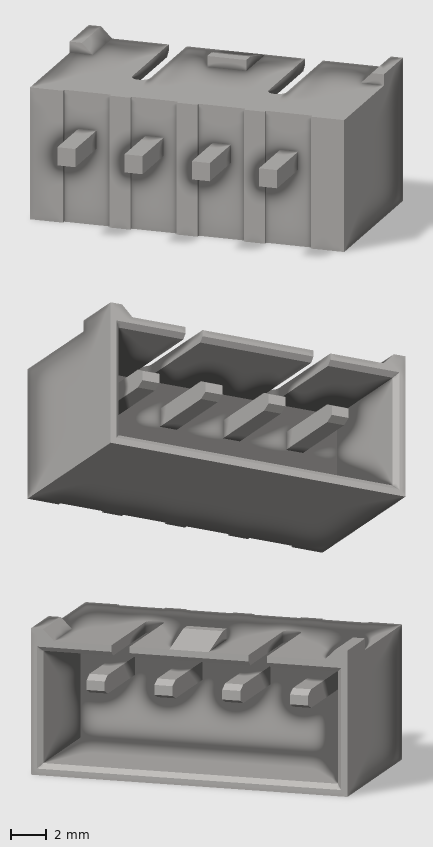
import cadquery as cq


body_width = 18.5
body_depth = 10.0
overall_height = 8.35
raised_height = 0.65
body_height = overall_height - raised_height

wall = 0.65
rear_wall = 3.0
mouth_chamfer = 0.28

pin_count = 4
pin_pitch = 3.96
pin_size = 1.06
pin_height = 4.98
tail_length = 3.4
pin_setback = 1.5
tip_chamfer_length = 0.55
tip_chamfer_height = 0.25

recess_width = 2.72
recess_depth = 0.2

slot_spacing = 8.02
slot_width = 1.06
slot_length = 6.7

raised_length = 3.25
latch_width = 2.3
latch_flat = 0.68
ear_flat = 0.72

overlap = 0.2

pin_positions = [(i - (pin_count - 1) / 2) * pin_pitch for i in range(pin_count)]


def box(x_center, x_size, y_range, z_range):
    """Box centred at x_center, spanning the given Y and Z ranges."""
    y_min, y_max = y_range
    z_min, z_max = z_range
    return (
        cq.Workplane("XY")
        .box(x_size, y_max - y_min, z_max - z_min, centered=(True, False, False))
        .translate((x_center, y_min, z_min))
    )


def make_shroud():
    """Housing block, hollowed from +Y, with a chamfered mouth."""
    block = box(0, body_width, (0, body_depth), (0, body_height))
    cavity = box(0, body_width - 2 * wall, (rear_wall, body_depth), (wall, body_height - wall))
    inner_mouth_edges = cq.selectors.BoxSelector(
        (-body_width / 2 + wall / 2, body_depth - wall / 2, wall / 2),
        (body_width / 2 - wall / 2, body_depth + wall / 2, body_height - wall / 2),
    )
    return block.cut(cavity).edges(inner_mouth_edges).chamfer(mouth_chamfer)


def make_recess(x_center):
    return box(x_center, recess_width, (0, recess_depth), (0, body_height))


def make_slot(x_center):
    """Slot through the top wall, open at the mouth and round at the rear."""
    radius = slot_width / 2
    arc_y = body_depth - slot_length + radius
    return (
        cq.Workplane("XY", origin=(x_center, 0, body_height - wall))
        .moveTo(-radius, body_depth)
        .lineTo(-radius, arc_y)
        .threePointArc((0, arc_y - radius), (radius, arc_y))
        .lineTo(radius, body_depth)
        .close()
        .extrude(wall)
    )


def make_latch():
    """Latch with a ramp that rises from the mouth to a flat top."""
    latch_rear = body_depth - raised_length
    return (
        cq.Workplane("YZ", origin=(-latch_width / 2, 0, 0))
        .moveTo(latch_rear, body_height - overlap)
        .lineTo(latch_rear, overall_height)
        .lineTo(latch_rear + latch_flat, overall_height)
        .lineTo(body_depth, body_height)
        .lineTo(body_depth, body_height - overlap)
        .close()
        .extrude(latch_width)
    )


def make_left_ear():
    """Ear along the -X edge, its inner side sloping down at 45 degrees."""
    outer_x = -body_width / 2
    flat_x = outer_x + ear_flat
    foot_x = flat_x + raised_height
    return (
        cq.Workplane("XZ", origin=(0, body_depth, 0))
        .moveTo(outer_x, body_height - overlap)
        .lineTo(outer_x, overall_height)
        .lineTo(flat_x, overall_height)
        .lineTo(foot_x, body_height)
        .lineTo(foot_x, body_height - overlap)
        .close()
        .extrude(raised_length)
    )


def make_pin(x_center):
    """Square pin from the tail end into the cavity, its tip bevelled above and below."""
    half = pin_size / 2
    tail_y = -tail_length
    tip_y = body_depth - pin_setback
    bevel_y = tip_y - tip_chamfer_length
    tip_half = half - tip_chamfer_height
    return (
        cq.Workplane("YZ", origin=(x_center - half, 0, pin_height))
        .moveTo(tail_y, -half)
        .lineTo(bevel_y, -half)
        .lineTo(tip_y, -tip_half)
        .lineTo(tip_y, tip_half)
        .lineTo(bevel_y, half)
        .lineTo(tail_y, half)
        .close()
        .extrude(pin_size)
    )


housing = make_shroud()
for side in (-1, 1):
    housing = housing.cut(make_slot(side * slot_spacing / 2))
for x in pin_positions:
    housing = housing.cut(make_recess(x))

left_ear = make_left_ear()
housing = housing.union(make_latch()).union(left_ear).union(left_ear.mirror("YZ"))

for x in pin_positions:
    housing = housing.union(make_pin(x))

result = housing